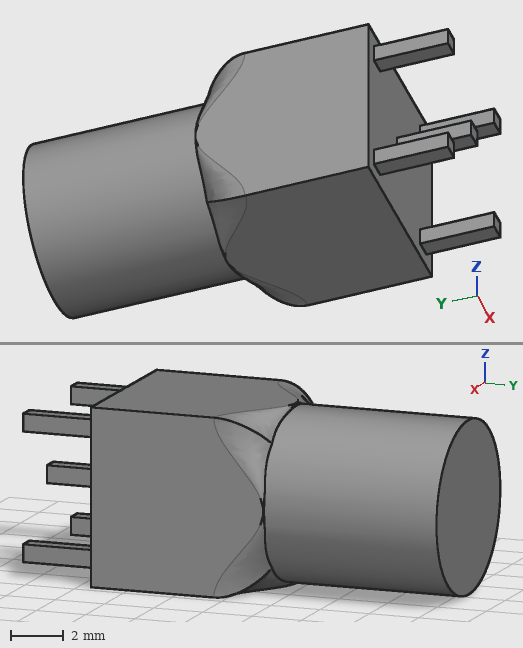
import cadquery as cq
import math

total_length = 17.0
body_side = 7.0
barrel_radius = 3.4
pin_length = 3.0
pin_side = 0.7
pin_pitch = 5.08

corner_round = 2.0
round_start = 0.06
round_end = 1.02
section_count = 9
clearance = 0.17

half_side = body_side / 2
body_back = pin_length
body_front = body_back + body_side


def round_radius(fraction):
    """Smooth growth from zero at mid-edge to the full radius at the corner."""
    return corner_round * fraction**2 * (3 - 2 * fraction)


def round_section(fraction):
    """Outline, at one place along the +Z front edge, of the material to remove."""
    radius = round_radius(fraction)
    arc_middle = radius * (1 - math.sqrt(0.5))
    plane = cq.Plane(
        origin=(fraction * half_side, body_front, half_side),
        xDir=(0, 1, 0),
        normal=(1, 0, 0),
    )
    return (
        cq.Workplane(plane)
        .moveTo(-radius, 0)
        .threePointArc((-arc_middle, -arc_middle), (0, -radius))
        .lineTo(clearance, -radius)
        .lineTo(clearance, clearance)
        .lineTo(-radius, clearance)
        .close()
        .val()
    )


def half_edge_cutter():
    step = (round_end - round_start) / (section_count - 1)
    sections = [round_section(round_start + i * step) for i in range(section_count)]
    return cq.Workplane(obj=cq.Solid.makeLoft(sections))


def make_body():
    body = cq.Workplane("XY").box(body_side, body_side, body_side)
    body = body.translate((0, body_back + half_side, 0))
    right_half = half_edge_cutter()
    left_half = right_half.mirror("YZ")
    for angle in (0, 90, 180, 270):
        for cutter in (right_half, left_half):
            body = body.cut(cutter.rotate((0, 0, 0), (0, 1, 0), angle))
    return body


def make_barrel():
    start = body_front - corner_round
    barrel = cq.Solid.makeCylinder(
        barrel_radius, total_length - start, cq.Vector(0, start, 0), cq.Vector(0, 1, 0)
    )
    return cq.Workplane(obj=barrel)


def make_pins():
    offset = pin_pitch / 2
    points = [(0, 0)] + [(x * offset, z * offset) for x in (-1, 1) for z in (-1, 1)]
    return cq.Workplane("XZ").pushPoints(points).rect(pin_side, pin_side).extrude(-pin_length)


result = make_body().union(make_barrel()).union(make_pins())